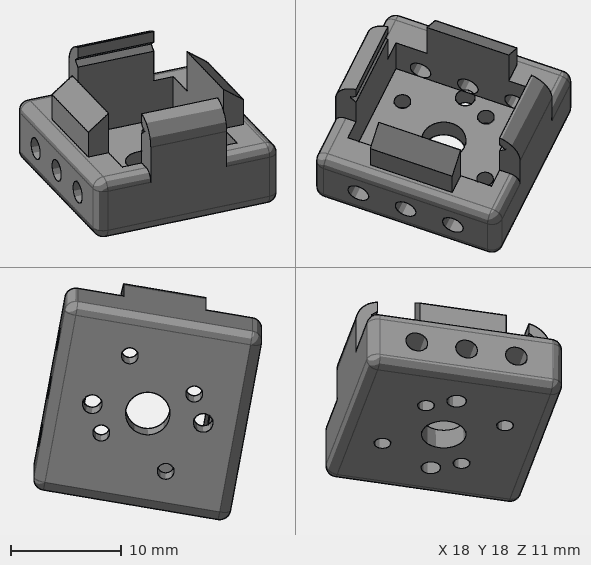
import cadquery as cq
import math

side = 18.0
base_height = 6.0
edge_radius = 1.0

pocket_x = 14.0
pocket_y = 11.34
floor_thickness = 2.0

arm_top = 11.0
arm_width = 7.5
arm_curve_radius = 2.5
arm_thickness = (side - pocket_x) / 2
arm_curve_rise = math.sqrt(arm_curve_radius**2 - (arm_curve_radius - arm_thickness) ** 2)
arm_curve_start = arm_top - arm_curve_rise

groove_centre = 9.47
groove_depth = 0.55
groove_half_height = 0.47

clip_width = 8.0
clip_thickness = 2.0
clip_top = 10.0
clip_shoulder = 8.51

side_hole_diameter = 2.0
side_hole_spacing = 4.6
side_hole_height = base_height / 2
centre_hole_diameter = 4.0
edge_hole_diameter = 1.75
pin_hole_diameter = 1.5
pin_pitch = 2.54
edge_hole_offset = 2 * pin_pitch


def make_base():
    block = cq.Workplane("XY").box(side, side, base_height, centered=(True, True, False))
    return block.edges().fillet(edge_radius)


def make_arm():
    """Arm on the -X edge, reaching down into the straight part of the base side."""
    outer = -side / 2
    inner = outer + arm_thickness
    profile = (
        cq.Workplane("XZ", origin=(0, arm_width / 2, 0))
        .moveTo(outer, base_height - edge_radius)
        .lineTo(outer, arm_curve_start)
        .radiusArc((inner, arm_top), arm_curve_radius)
        .lineTo(inner, groove_centre + groove_half_height)
        .lineTo(inner - groove_depth, groove_centre)
        .lineTo(inner, groove_centre - groove_half_height)
        .lineTo(inner, base_height - edge_radius)
        .close()
    )
    return profile.extrude(arm_width)


def make_clip():
    """Clip on the -Y edge, with a top that falls away from the pocket."""
    inner = -pocket_y / 2
    outer = inner - clip_thickness
    root = base_height - edge_radius
    outline = [
        (inner, root),
        (inner, clip_top),
        (outer, clip_shoulder),
        (outer, root),
    ]
    return cq.Workplane("YZ", origin=(-clip_width / 2, 0, 0)).polyline(outline).close().extrude(clip_width)


def make_pocket():
    return (
        cq.Workplane("XY", origin=(0, 0, floor_thickness))
        .rect(pocket_x, pocket_y)
        .extrude(base_height - floor_thickness)
    )


def make_side_holes():
    places = [(step * side_hole_spacing, side_hole_height) for step in (-1, 0, 1)]
    return (
        cq.Workplane("XZ", origin=(0, side / 2, 0))
        .pushPoints(places)
        .circle(side_hole_diameter / 2)
        .extrude(side)
    )


def make_floor_holes(diameter, places):
    return cq.Workplane("XY").pushPoints(places).circle(diameter / 2).extrude(floor_thickness)


pin_places = [
    (-2 * pin_pitch, pin_pitch),
    (pin_pitch, 1.5 * pin_pitch),
    (-pin_pitch, -1.5 * pin_pitch),
    (2 * pin_pitch, -pin_pitch),
]
edge_places = [(0, edge_hole_offset), (0, -edge_hole_offset)]

arm = make_arm()
clip = make_clip()

result = make_base()
result = result.union(arm).union(arm.mirror("YZ"))
result = result.union(clip).union(clip.mirror("XZ"))
result = result.cut(make_pocket())
result = result.cut(make_side_holes())
result = result.cut(make_floor_holes(centre_hole_diameter, [(0, 0)]))
result = result.cut(make_floor_holes(edge_hole_diameter, edge_places))
result = result.cut(make_floor_holes(pin_hole_diameter, pin_places))